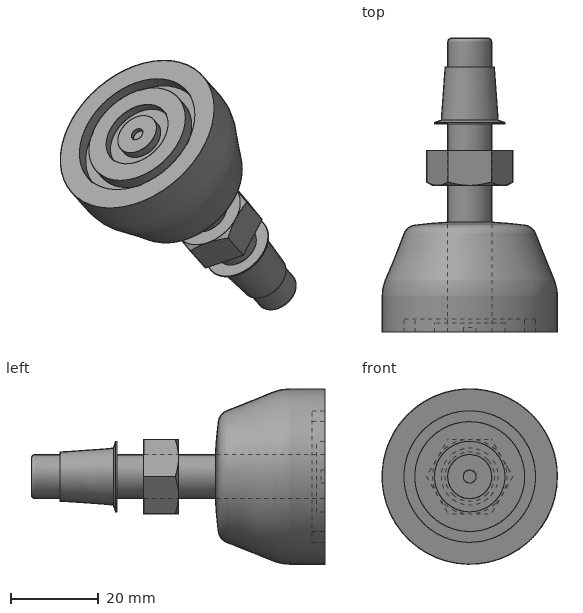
import cadquery as cq
import math


STUD_RADIUS = 5.0
STUD_LENGTH = 67.0
TIP_FILLET = 0.9
CENTRE_HOLE_RADIUS = 1.5
CENTRE_HOLE_DEPTH = 1.0

COLLAR_START = 47.45
COLLAR_END = 60.45
COLLAR_END_RADIUS = 5.6
COLLAR_BASE_RADIUS = 6.5
FLANGE_RADIUS = 8.05
FLANGE_RIM_THICKNESS = 0.35
FLANGE_HEIGHT = 0.9

NUT_START = 33.4
NUT_HEIGHT = 8.0
NUT_ACROSS_FLATS = 17.0
NUT_ACROSS_CORNERS = NUT_ACROSS_FLATS / math.cos(math.radians(30))
NUT_CHAMFER_ANGLE = 30.0

FOOT_RADIUS = 20.0
SHOULDER_HEIGHT = 10.05
CROWN_RADIUS = 14.35
CROWN_HEIGHT = 24.1
FOOT_HEIGHT = 25.2
SHOULDER_FILLET = 10.0
CROWN_FILLET = 3.0

INNER_GROOVE_DEPTH = 2.0
OUTER_GROOVE_DEPTH = 3.0
INNER_GROOVE_RADIUS = 8.05
OUTER_GROOVE_INNER_RADIUS = 12.5
OUTER_GROOVE_RADIUS = 15.0


def cylinder(radius, start, end):
    """Cylinder on the Y axis from y = start to y = end."""
    return cq.Workplane("XZ", origin=(0, start, 0)).circle(radius).extrude(start - end)


def revolve_about_y(profile):
    """Turn a closed (radius, y) profile about the Y axis."""
    return profile.close().revolve(360, (0, 0, 0), (0, 1, 0))


def make_stud():
    rod = cylinder(STUD_RADIUS, 0, STUD_LENGTH).faces(">Y").fillet(TIP_FILLET)
    collar = revolve_about_y(
        cq.Workplane("XY")
        .moveTo(0, COLLAR_START)
        .lineTo(FLANGE_RADIUS, COLLAR_START)
        .lineTo(FLANGE_RADIUS, COLLAR_START + FLANGE_RIM_THICKNESS)
        .lineTo(COLLAR_BASE_RADIUS, COLLAR_START + FLANGE_HEIGHT)
        .lineTo(COLLAR_END_RADIUS, COLLAR_END)
        .lineTo(0, COLLAR_END)
    )
    return rod.union(collar).cut(cylinder(CENTRE_HOLE_RADIUS, 0, CENTRE_HOLE_DEPTH))


def make_nut():
    hexagon = (
        cq.Workplane("XZ", origin=(0, NUT_START, 0))
        .polygon(6, NUT_ACROSS_CORNERS)
        .extrude(-NUT_HEIGHT)
    )
    face_radius = NUT_ACROSS_FLATS / 2
    corner_radius = NUT_ACROSS_CORNERS / 2
    chamfer_height = (corner_radius - face_radius) * math.tan(math.radians(NUT_CHAMFER_ANGLE))
    envelope = revolve_about_y(
        cq.Workplane("XY")
        .moveTo(0, NUT_START)
        .lineTo(face_radius, NUT_START)
        .lineTo(corner_radius, NUT_START + chamfer_height)
        .lineTo(corner_radius, NUT_START + NUT_HEIGHT)
        .lineTo(0, NUT_START + NUT_HEIGHT)
    )
    bore = cylinder(STUD_RADIUS, NUT_START, NUT_START + NUT_HEIGHT)
    return hexagon.intersect(envelope).cut(bore)


def ring_groove(inner_radius, outer_radius, depth):
    return cylinder(outer_radius, 0, depth).cut(cylinder(inner_radius, 0, depth))


def make_foot():
    dome_rise = FOOT_HEIGHT - CROWN_HEIGHT
    dome_radius = (CROWN_RADIUS**2 + dome_rise**2) / (2 * dome_rise)
    middle_radius = CROWN_RADIUS / 2
    middle_height = FOOT_HEIGHT - dome_radius + math.sqrt(dome_radius**2 - middle_radius**2)
    body = revolve_about_y(
        cq.Workplane("XY")
        .lineTo(FOOT_RADIUS, 0)
        .lineTo(FOOT_RADIUS, SHOULDER_HEIGHT)
        .lineTo(CROWN_RADIUS, CROWN_HEIGHT)
        .threePointArc((middle_radius, middle_height), (0, FOOT_HEIGHT))
    )
    crown_edge = cq.NearestToPointSelector((0, CROWN_HEIGHT, 0))
    shoulder_edge = cq.NearestToPointSelector((0, SHOULDER_HEIGHT, 0))
    body = body.edges(crown_edge).fillet(CROWN_FILLET)
    body = body.edges(shoulder_edge).fillet(SHOULDER_FILLET)
    body = body.cut(ring_groove(STUD_RADIUS, INNER_GROOVE_RADIUS, INNER_GROOVE_DEPTH))
    body = body.cut(ring_groove(OUTER_GROOVE_INNER_RADIUS, OUTER_GROOVE_RADIUS, OUTER_GROOVE_DEPTH))
    return body.cut(cylinder(STUD_RADIUS, 0, FOOT_HEIGHT))


stud = make_stud()
nut = make_nut()
foot = make_foot()

result = cq.Compound.makeCompound([stud.val(), nut.val(), foot.val()])